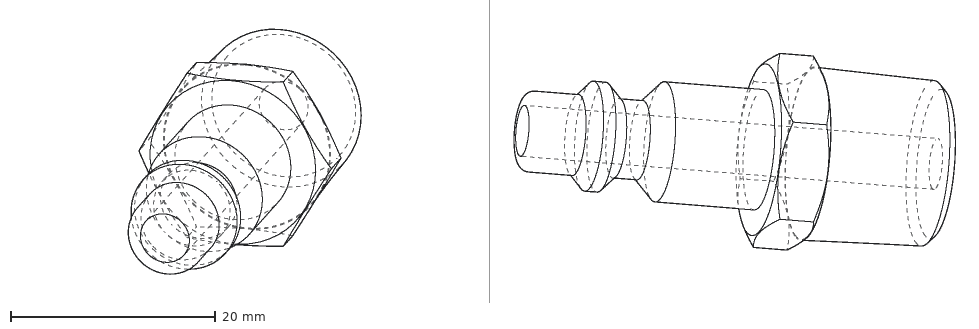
import cadquery as cq
import math

total_length = 42.0
bore_diameter = 5.0

tip_radius = 4.0
tip_rounding = 0.95
collar_radius = 5.4
collar_cone_start = 5.38
collar_start = 6.75
collar_end = 8.02
neck_radius = 3.9
neck_start = 9.55
neck_end = 11.93
body_radius = 5.92
body_start = 13.95

hex_across_flats = 17.0
hex_width = 5.0
hex_start = 24.02
hex_end = hex_start + hex_width
hex_face_radius = 8.45
hex_chamfer_angle = 30.0

thread_base_radius = 8.53
thread_taper = 1 / 16
thread_chamfer = 0.8


def make_nipple():
    """Revolve the stepped nipple, with its rounded tip, up to the hexagon."""
    rounding_diagonal = tip_rounding * math.sqrt(0.5)
    rounding_center_radius = tip_radius - tip_rounding
    return (
        cq.Workplane("XY")
        .lineTo(rounding_center_radius, 0)
        .threePointArc(
            (rounding_center_radius + rounding_diagonal, tip_rounding - rounding_diagonal),
            (tip_radius, tip_rounding),
        )
        .lineTo(tip_radius, collar_cone_start)
        .lineTo(collar_radius, collar_start)
        .lineTo(collar_radius, collar_end)
        .lineTo(neck_radius, neck_start)
        .lineTo(neck_radius, neck_end)
        .lineTo(body_radius, body_start)
        .lineTo(body_radius, hex_end)
        .lineTo(0, hex_end)
        .close()
        .revolve(360, (0, 0), (0, 1))
    )


def make_hexagon():
    """Hexagonal prism with two corners on the X axis and conical chamfers on both faces."""
    corner_radius = hex_across_flats / math.sqrt(3)
    chamfer_depth = (corner_radius - hex_face_radius) * math.tan(math.radians(hex_chamfer_angle))
    prism = (
        cq.Workplane("XZ", origin=(0, hex_start, 0))
        .polygon(6, 2 * corner_radius)
        .extrude(-hex_width)
    )
    chamfer_envelope = (
        cq.Workplane("XY")
        .moveTo(0, hex_start)
        .lineTo(hex_face_radius, hex_start)
        .lineTo(corner_radius, hex_start + chamfer_depth)
        .lineTo(corner_radius, hex_end - chamfer_depth)
        .lineTo(hex_face_radius, hex_end)
        .lineTo(0, hex_end)
        .close()
        .revolve(360, (0, 0), (0, 1))
    )
    return prism.intersect(chamfer_envelope)


def make_thread():
    """Tapered thread envelope with a 45 degree chamfer at its end."""
    chamfer_start = total_length - thread_chamfer
    small_radius = thread_base_radius - (chamfer_start - hex_end) * thread_taper / 2
    return (
        cq.Workplane("XY")
        .moveTo(0, hex_end)
        .lineTo(thread_base_radius, hex_end)
        .lineTo(small_radius, chamfer_start)
        .lineTo(small_radius - thread_chamfer, total_length)
        .lineTo(0, total_length)
        .close()
        .revolve(360, (0, 0), (0, 1))
    )


def make_bore():
    """Straight through bore."""
    return cq.Workplane("XZ").circle(bore_diameter / 2).extrude(-total_length)


result = make_nipple().union(make_hexagon()).union(make_thread()).cut(make_bore())